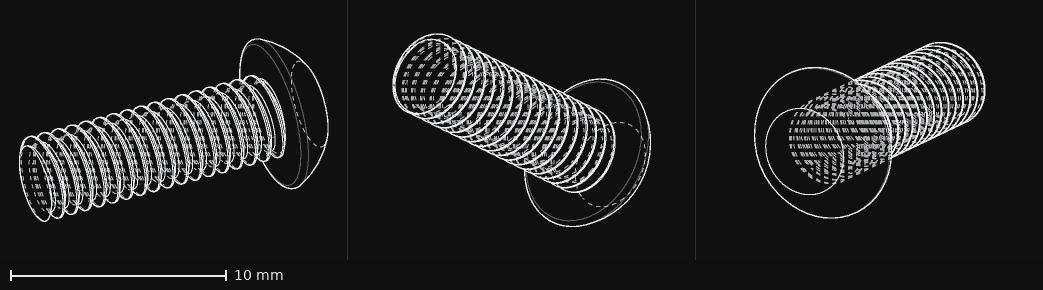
import cadquery as cq
import math

total_length = 14.0
head_height = 2.0
shank_length = total_length - head_height

head_radius = 7.17 / 2
rim_round = 0.21
rim_blend_angle = math.radians(24.7)

thread_radius = 4.0 / 2
pitch = 0.7
crest_flat = pitch / 8
root_flat = pitch / 4
flank_angle = math.radians(30)
thread_depth = (pitch - crest_flat - root_flat) / 2 / math.tan(flank_angle)
root_radius = thread_radius - thread_depth
crest_height = 0.55
ridge_embed = 0.04
overrun = 4 * pitch


def point_on_arc(centre, radius, angle):
    """Point of a circle at an angle measured from the +X direction."""
    return (
        centre[0] + radius * math.cos(angle),
        centre[1] + radius * math.sin(angle),
    )


def make_head():
    """Domed head with a flat top; the rim arc is tangent to the seat and the dome."""
    rim_centre = (head_radius - rim_round, rim_round)
    dome_centre = (0, rim_round - rim_centre[0] * math.tan(rim_blend_angle))
    dome_radius = rim_centre[0] / math.cos(rim_blend_angle) + rim_round
    top_angle = math.asin((head_height - dome_centre[1]) / dome_radius)
    dome_middle_angle = (rim_blend_angle + top_angle) / 2
    profile = (
        cq.Workplane("XY")
        .lineTo(rim_centre[0], 0)
        .threePointArc(
            point_on_arc(rim_centre, rim_round, 0),
            point_on_arc(rim_centre, rim_round, rim_blend_angle),
        )
        .threePointArc(
            point_on_arc(dome_centre, dome_radius, dome_middle_angle),
            point_on_arc(dome_centre, dome_radius, top_angle),
        )
        .lineTo(0, head_height)
        .close()
    )
    return profile.revolve(360, (0, 0, 0), (0, 1, 0))


def make_ridge():
    """Helical thread ridge, sunk slightly into the core and longer than the shank."""
    start = crest_height - overrun / 2
    helix = cq.Wire.makeHelix(pitch, shank_length + overrun, root_radius)
    helix = helix.translate(cq.Vector(0, 0, start))
    inner_radius = root_radius - ridge_embed
    half_crest = crest_flat / 2
    half_base = half_crest + (thread_radius - inner_radius) * math.tan(flank_angle)
    section = (
        cq.Workplane("XZ")
        .moveTo(inner_radius, start - half_base)
        .lineTo(thread_radius, start - half_crest)
        .lineTo(thread_radius, start + half_crest)
        .lineTo(inner_radius, start + half_base)
        .close()
    )
    return section.sweep(cq.Workplane(helix), isFrenet=True)


def make_shank():
    """Threaded shank, built upright, trimmed flat at both ends and laid along Y."""
    core_length = shank_length + 2 * overrun
    core = cq.Workplane("XY").workplane(offset=-overrun).circle(root_radius).extrude(core_length)
    envelope = cq.Workplane("XY").circle(2 * thread_radius).extrude(shank_length)
    upright = core.union(make_ridge()).intersect(envelope)
    return upright.rotate((0, 0, 0), (1, 0, 0), -90).translate((0, -shank_length, 0))


result = make_head().union(make_shank())